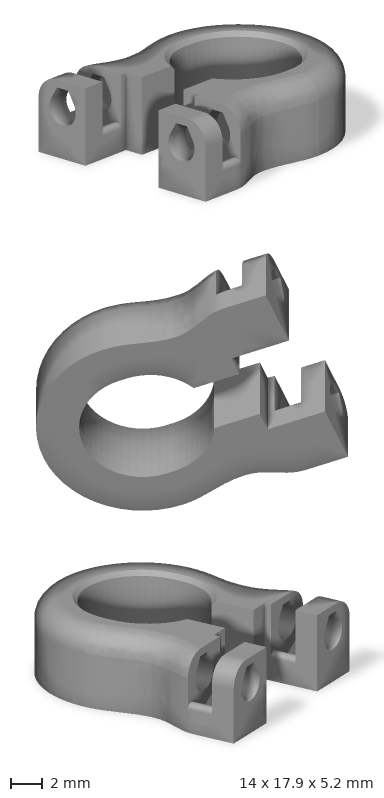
import cadquery as cq
import math

height = 5.2
length = 17.85
half_width = 7.0
top_fillet = 1.5

ring_radius = 6.73
ring_center_y = length - ring_radius
bore_radius = 4.02
bore_stretch = 0.52
bore_chamfer = 0.3

waist_half_width = 5.98
waist_y = 6.6
arm_straight_end_y = 2.8
arm_inner_x = 3.07
gap_half_width = 1.73
step_y = 3.87

slot_start_y = 1.6
slot_end_y = 3.41
slot_width = slot_end_y - slot_start_y
floor_angle = math.radians(30)
valley_z = 1.1
floor_fillet = 0.37

hole_radius = 1.09
hole_x = 4.98
hole_z = 3.3
hole_flat_height = 1.37
hole_depth = 4.64
flank_angle = math.radians(30)


def make_body():
    """Solid outer shape with its upper outer edge rounded."""
    down = (0, -1)
    up = (0, 1)
    body = (
        cq.Workplane("XY")
        .moveTo(0, 0)
        .lineTo(half_width, 0)
        .lineTo(half_width, arm_straight_end_y)
        .spline([(waist_half_width, waist_y)], tangents=[up, up], includeCurrent=True)
        .spline([(ring_radius, ring_center_y)], tangents=[up, up], includeCurrent=True)
        .threePointArc((0, length), (-ring_radius, ring_center_y))
        .spline([(-waist_half_width, waist_y)], tangents=[down, down], includeCurrent=True)
        .spline([(-half_width, arm_straight_end_y)], tangents=[down, down], includeCurrent=True)
        .lineTo(-half_width, 0)
        .close()
        .extrude(height)
    )
    return body.faces(">Z").edges("not(|X)").fillet(top_fillet)


def make_bore():
    """Stretched round bore, widened by a chamfer at the top."""
    lower_center_y = ring_center_y - bore_stretch
    bore = (
        cq.Workplane("XY")
        .moveTo(bore_radius, lower_center_y)
        .lineTo(bore_radius, ring_center_y)
        .threePointArc((0, ring_center_y + bore_radius), (-bore_radius, ring_center_y))
        .lineTo(-bore_radius, lower_center_y)
        .threePointArc((0, lower_center_y - bore_radius), (bore_radius, lower_center_y))
        .close()
    )
    rim_radius = bore_radius + bore_chamfer
    rim = (
        cq.Workplane("XY", origin=(0, ring_center_y - bore_stretch / 2, height))
        .slot2D(2 * rim_radius + bore_stretch, 2 * rim_radius, 90)
        .extrude(-bore_chamfer, taper=45)
    )
    return bore.extrude(height).union(rim)


def make_opening():
    """Stepped gap between the two arms."""
    narrow = cq.Workplane("XY").rect(2 * gap_half_width, 2 * ring_center_y).extrude(height)
    wide = cq.Workplane("XY").rect(2 * arm_inner_x, 2 * step_y).extrude(height)
    return narrow.union(wide)


def make_nut_slot():
    """Cutter for the slot in the +X arm, open at the top and at both sides."""
    reach = half_width - arm_inner_x
    slope_rise = reach * math.tan(floor_angle)
    slot_top = height - valley_z + slope_rise
    return (
        cq.Workplane("XZ", origin=(hole_x, slot_end_y, valley_z))
        .moveTo(0, 0)
        .lineTo(reach, slope_rise)
        .lineTo(reach, slot_top)
        .lineTo(-reach, slot_top)
        .lineTo(-reach, slope_rise)
        .close()
        .extrude(slot_width)
    )


def slot_floor_edges():
    """Box around the middles of the sharp edges where the slot floors meet the arm sides."""
    low = (-length, slot_start_y + slot_width / 4, valley_z + floor_fillet)
    high = (length, slot_end_y - slot_width / 4, height / 2)
    return cq.selectors.BoxSelector(low, high)


def make_screw_hole():
    """Teardrop hole in the +X arm with a flat top between two straight flanks."""
    tangent_x = hole_radius * math.cos(flank_angle)
    tangent_z = hole_radius * math.sin(flank_angle)
    flat_half_width = (hole_radius - hole_flat_height * math.sin(flank_angle)) / math.cos(flank_angle)
    return (
        cq.Workplane("XZ", origin=(hole_x, 0, hole_z))
        .moveTo(tangent_x, tangent_z)
        .lineTo(flat_half_width, hole_flat_height)
        .lineTo(-flat_half_width, hole_flat_height)
        .lineTo(-tangent_x, tangent_z)
        .threePointArc((0, -hole_radius), (tangent_x, tangent_z))
        .close()
        .extrude(-hole_depth)
    )


nut_slot = make_nut_slot()
screw_hole = make_screw_hole()
result = (
    make_body()
    .cut(make_bore())
    .cut(make_opening())
    .cut(nut_slot)
    .cut(nut_slot.mirror("YZ"))
    .edges(slot_floor_edges())
    .fillet(floor_fillet)
    .cut(screw_hole)
    .cut(screw_hole.mirror("YZ"))
)